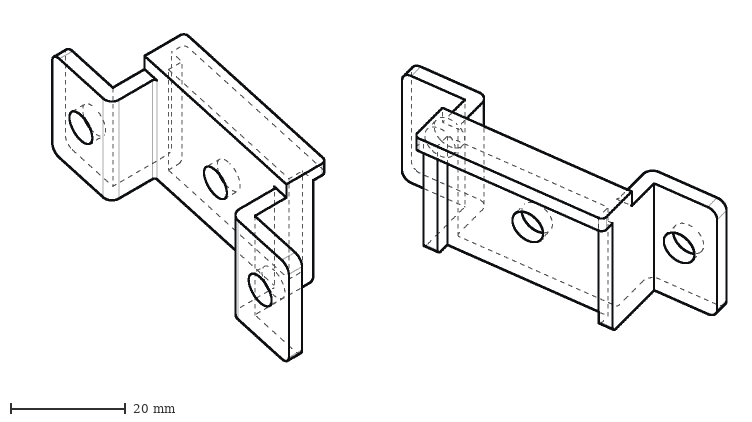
import cadquery as cq

overall_length = 66.0
overall_depth = 19.0
overall_height = 28.4

body_length = 39.6
plate_thickness = 3.0
bracket_height = 25.0
web_front = 10.0
lip_overhang = 3.0
lip_thickness = 3.0
ear_back = overall_depth - lip_overhang

hole_diameter = 6.4
hole_spacing = 25.0

flange_corner_radius = 2.0
outer_bend_radius = 2.0
inner_bend_radius = 0.5
lip_corner_radius = 1.0
ear_corner_radius = 1.0

half_body = body_length / 2
half_length = overall_length / 2


def box(x_range, y_range, z_range):
    """Return a box spanning the given X, Y and Z ranges."""
    ranges = (x_range, y_range, z_range)
    size = [high - low for low, high in ranges]
    corner = (x_range[0], y_range[0], z_range[0])
    return cq.Workplane("XY").box(*size, centered=False).translate(corner)


def make_web():
    """Central upright plate between the two legs."""
    return box(
        (-half_body, half_body),
        (web_front, web_front + plate_thickness),
        (0, overall_height),
    )


def make_right_ear():
    """Side wall continuing the +X leg behind the web, rounded at its bottom back corner."""
    ear = box((half_body - plate_thickness, half_body), (web_front, ear_back), (0, overall_height))
    return ear.edges("|X and >Y and <Z").fillet(ear_corner_radius)


def make_lip():
    """Ledge across the top of the web, overhanging the back of the ears."""
    lip = box(
        (-half_body, half_body),
        (web_front, overall_depth),
        (overall_height - lip_thickness, overall_height),
    )
    return lip.edges("|Z and >Y").fillet(lip_corner_radius)


def make_right_bracket():
    """L-shaped leg and mounting flange on the +X side."""
    leg_inner = half_body - plate_thickness
    leg = box((leg_inner, half_body), (0, web_front), (0, bracket_height))
    flange = box((leg_inner, half_length), (0, plate_thickness), (0, bracket_height))
    flange = flange.edges("|Y and >X").fillet(flange_corner_radius)
    bracket = leg.union(flange)
    return bracket.edges("|Z and <X and <Y").fillet(outer_bend_radius)


def round_inner_corners(body):
    """Round the two corners where the legs meet the front of the web."""
    leg_inner = half_body - plate_thickness
    middle = bracket_height / 2
    for x in (-leg_inner, leg_inner):
        corner = cq.selectors.NearestToPointSelector((x, web_front, middle))
        body = body.edges("|Z").edges(corner).fillet(inner_bend_radius)
    return body


def make_holes():
    """Cutters for one hole through the web and one through each flange."""
    centers = [(step * hole_spacing, bracket_height / 2) for step in (-1, 0, 1)]
    return (
        cq.Workplane("XZ")
        .pushPoints(centers)
        .circle(hole_diameter / 2)
        .extrude(-overall_depth)
    )


right_side = make_right_bracket().union(make_right_ear())
left_side = right_side.mirror("YZ")
body = make_web().union(make_lip()).union(right_side).union(left_side)
result = round_inner_corners(body).cut(make_holes())